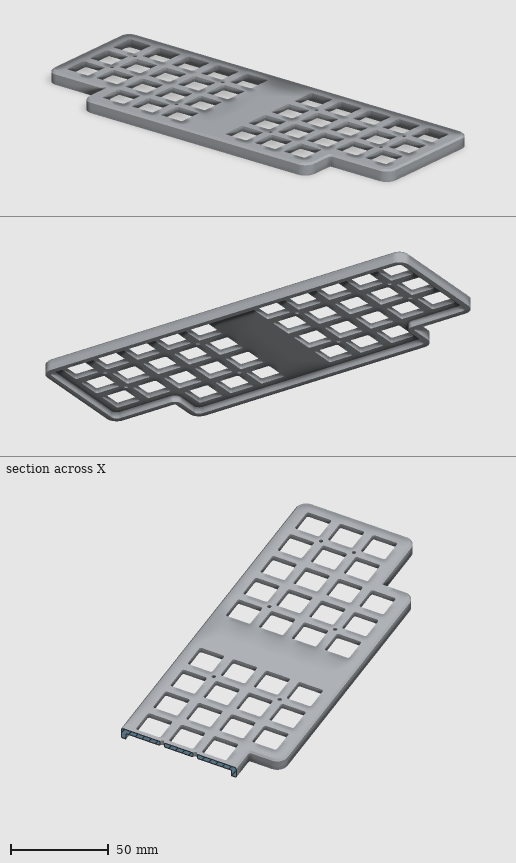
import cadquery as cq


KEY_PITCH = 19.05
CUTOUT_SIZE = 14.2
CUTOUT_CORNER_RADIUS = 1.0
COLUMNS_PER_HALF = 5
ROWS = 4
OMITTED_OUTER_KEYS = 2
HALF_GAP = 23.1
BORDER = 4.825

THICKNESS = 6.7
WEB_THICKNESS = 3.0
RIM_WIDTH = 3.0
OUTER_CORNER_RADIUS = 6.0
INNER_CORNER_RADIUS = 1.0
TOP_CHAMFER = 1.0

SCREW_HOLE_DIAMETER = 2.2
SCREW_HOLE_CELLS = [(1, 1), (4, 1), (4, 2), (1, 3)]

WIDTH = 2 * COLUMNS_PER_HALF * KEY_PITCH + HALF_GAP + 2 * BORDER
DEPTH = ROWS * KEY_PITCH + 2 * BORDER
NOTCH_WIDTH = OMITTED_OUTER_KEYS * KEY_PITCH
NOTCH_DEPTH = KEY_PITCH
CELLS_TOP_Y = DEPTH / 2 - BORDER

SIDES = (-1, 1)


def cell_point(side, columns, rows):
    """Point in one half (side -1 or 1), counted in key cells from its top inner corner."""
    x = side * (HALF_GAP / 2 + columns * KEY_PITCH)
    y = CELLS_TOP_Y - rows * KEY_PITCH
    return (x, y)


def keys_in_row(row):
    """Number of keys one half has in a row; the lowest row is shorter."""
    if row == ROWS - 1:
        return COLUMNS_PER_HALF - OMITTED_OUTER_KEYS
    return COLUMNS_PER_HALF


def round_upright_edges(prism, points, height, radius):
    """Round the upright edges of a prism that stand on the given outline points."""
    for x, y in points:
        edge = cq.selectors.NearestToPointSelector((x, y, height / 2))
        prism = prism.edges(edge).fillet(radius)
    return prism


def t_shaped_prism(inset, height):
    """Prism on the plate outline moved inward by inset, with rounded corners."""
    half_width = WIDTH / 2 - inset
    tab_half_width = WIDTH / 2 - NOTCH_WIDTH - inset
    top_y = DEPTH / 2 - inset
    bottom_y = -DEPTH / 2 + inset
    step_y = bottom_y + NOTCH_DEPTH

    right_side = [
        (half_width, top_y),
        (half_width, step_y),
        (tab_half_width, step_y),
        (tab_half_width, bottom_y),
    ]
    left_side = [(-x, y) for x, y in reversed(right_side)]
    outline = right_side + left_side
    inner_corners = [(side * tab_half_width, step_y) for side in SIDES]
    outer_corners = [point for point in outline if point not in inner_corners]

    prism = cq.Workplane("XY").polyline(outline).close().extrude(height)
    prism = round_upright_edges(prism, outer_corners, height, OUTER_CORNER_RADIUS - inset)
    return round_upright_edges(prism, inner_corners, height, INNER_CORNER_RADIUS + inset)


def plate_body():
    """Full plate with its chamfered top rim."""
    return t_shaped_prism(0, THICKNESS).faces(">Z").edges().chamfer(TOP_CHAMFER)


def underside_hollow():
    return t_shaped_prism(RIM_WIDTH, THICKNESS - WEB_THICKNESS)


def key_cutouts():
    centers = [
        cell_point(side, column + 0.5, row + 0.5)
        for side in SIDES
        for row in range(ROWS)
        for column in range(keys_in_row(row))
    ]
    cutouts = cq.Workplane("XY").pushPoints(centers).rect(CUTOUT_SIZE, CUTOUT_SIZE)
    return cutouts.extrude(THICKNESS).edges("|Z").fillet(CUTOUT_CORNER_RADIUS)


def screw_holes():
    centers = [cell_point(side, columns, rows) for side in SIDES for columns, rows in SCREW_HOLE_CELLS]
    return cq.Workplane("XY").pushPoints(centers).circle(SCREW_HOLE_DIAMETER / 2).extrude(THICKNESS)


result = plate_body().cut(underside_hollow()).cut(key_cutouts()).cut(screw_holes())